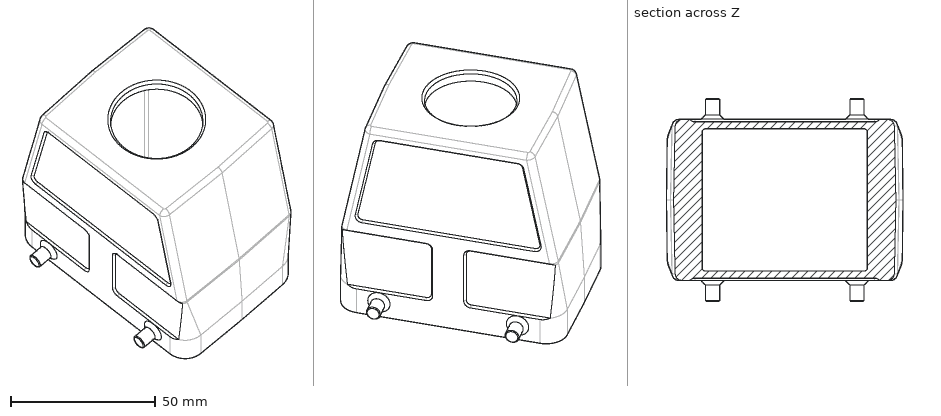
import cadquery as cq

half_width = 28.0
base_bow = 0.3
shoulder_bow = 0.6
top_bow = 0.8
top_height = 78.5
base_height = 10.8
shoulder_low = 33.6
shoulder_high = 34.35
base_half_length = 41.0
shoulder_low_half_length = 39.6
shoulder_high_half_length = 39.5
top_half_length = 31.1
base_corner_radius = 7.6
upper_corner_radius = 2.5
top_edge_radius = 2.0

cavity_half_length = 28.5
cavity_half_width = 24.6
cavity_corner_radius = 1.0
roof_thickness = 4.0
entry_diameter = 32.0
entry_chamfer = 1.0

recess_depth = 0.8
recess_wall_angle = 42.0
recess_corner_radius = 2.5
panel_bottom = 38.45
panel_top = 74.5
panel_bottom_half_length = 34.1
panel_top_half_length = 26.9
grip_inner_end = 5.6
grip_bottom = 10.1
grip_top = 34.3
grip_overrun = 8.2

peg_x = 25.0
peg_z = 6.0
peg_tip = 35.1
peg_diameter = 5.0
peg_tip_chamfer = 0.3
peg_foot_diameter = 8.0
peg_root_overlap = 1.6


def shell_section(half_length, bow, corner_radius, z):
    """Shell outline at height z: bowed ends and rounded corners."""
    corner_x = half_length - bow
    points = [
        (half_length, 0),
        (corner_x, half_width),
        (-corner_x, half_width),
        (-half_length, 0),
        (-corner_x, -half_width),
        (corner_x, -half_width),
        (half_length, 0),
    ]
    outline = cq.Sketch().polygon(points).vertices(">Y or <Y").fillet(corner_radius)
    return outline.moved(cq.Location(cq.Vector(0, 0, z)))


def make_shell():
    """Solid outer shape, tapering in above the upright skirt."""
    sections = [
        shell_section(base_half_length, base_bow, base_corner_radius, 0),
        shell_section(base_half_length, base_bow, base_corner_radius, base_height),
        shell_section(shoulder_low_half_length, shoulder_bow, upper_corner_radius, shoulder_low),
        shell_section(shoulder_high_half_length, shoulder_bow, upper_corner_radius, shoulder_high),
        shell_section(top_half_length, top_bow, upper_corner_radius, top_height),
    ]
    shell = cq.Workplane("XY").placeSketch(*sections).loft(ruled=True)
    return shell.faces(">Z").edges().fillet(top_edge_radius)


def make_recess(points):
    """Cutter for a rounded recess in the -Y face; points are (x, z)."""
    outline = cq.Sketch().polygon(points + points[:1]).vertices().fillet(recess_corner_radius)
    front_face = cq.Workplane("XZ", origin=(0, -half_width, 0))
    return front_face.placeSketch(outline).extrude(-recess_depth, taper=recess_wall_angle)


def make_face_recesses():
    """Cutters for the panel and the two open-ended lower recesses of the -Y face."""
    panel = make_recess([
        (-panel_bottom_half_length, panel_bottom),
        (panel_bottom_half_length, panel_bottom),
        (panel_top_half_length, panel_top),
        (-panel_top_half_length, panel_top),
    ])
    outer_end = base_half_length + grip_overrun
    grip = make_recess([
        (grip_inner_end, grip_bottom),
        (outer_end, grip_bottom),
        (outer_end, grip_top),
        (grip_inner_end, grip_top),
    ])
    return [panel, grip, grip.mirror("YZ")]


def make_peg(x):
    """Locking peg on the -Y face with a 45 degree conical foot."""
    peg_radius = peg_diameter / 2
    foot_radius = peg_foot_diameter / 2
    foot_end = half_width + foot_radius - peg_radius
    root = half_width - peg_root_overlap
    profile = [
        (0, root),
        (foot_radius, root),
        (foot_radius, half_width),
        (peg_radius, foot_end),
        (peg_radius, peg_tip - peg_tip_chamfer),
        (peg_radius - peg_tip_chamfer, peg_tip),
        (0, peg_tip),
    ]
    peg = cq.Workplane("XY").polyline(profile).close().revolve(360, (0, 0), (0, 1))
    return peg.mirror("XZ").translate((x, 0, peg_z))


def make_cavity():
    """Straight-walled space, open at the bottom and closed by the roof."""
    cavity = cq.Workplane("XY").rect(2 * cavity_half_length, 2 * cavity_half_width)
    return cavity.extrude(top_height - roof_thickness).edges("|Z").fillet(cavity_corner_radius)


def make_cable_entry():
    """Round hole through the roof, chamfered at the top."""
    hole = cq.Workplane("XY", origin=(0, 0, top_height - roof_thickness))
    hole = hole.circle(entry_diameter / 2).extrude(roof_thickness)
    mouth = cq.Workplane("XY", origin=(0, 0, top_height)).circle(entry_diameter / 2 + entry_chamfer)
    return hole.union(mouth.extrude(-entry_chamfer, taper=45))


result = make_shell()
for recess in make_face_recesses():
    result = result.cut(recess).cut(recess.mirror("XZ"))
for x in (-peg_x, peg_x):
    peg = make_peg(x)
    result = result.union(peg).union(peg.mirror("XZ"))
result = result.cut(make_cavity()).cut(make_cable_entry())